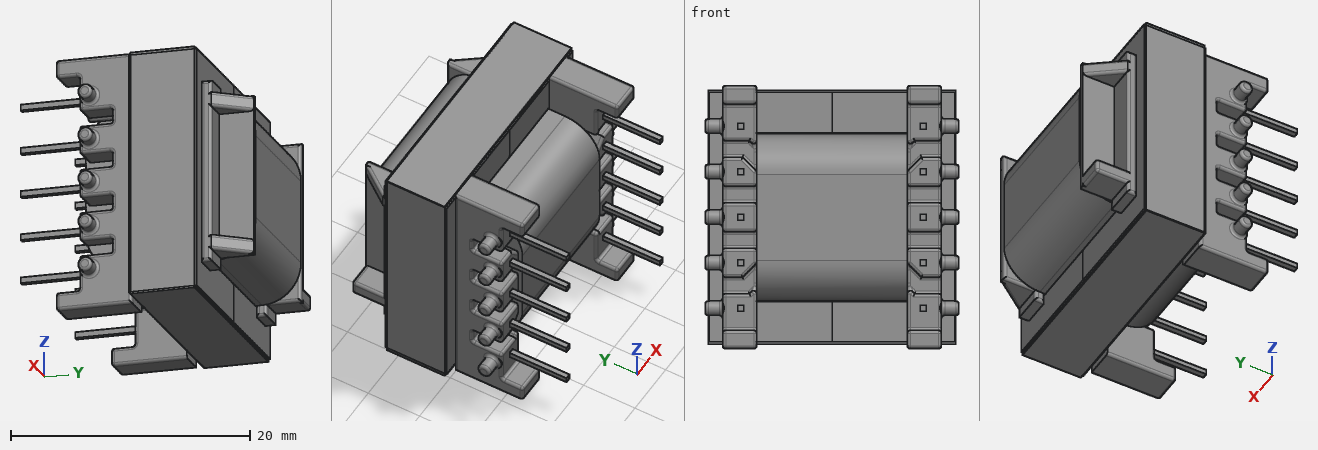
import cadquery as cq
import math


CORE_HALF_X = 10.27
CORE_HALF_Y = 3.0
CORE_HALF_Z = 10.43
WINDOW_HALF_Z = 7.05
CENTRE_LEG_HALF_Z = 2.95

TAPE_HALF_X = 10.36
TAPE_HALF_Y = 2.82
TAPE_HALF_Z = 10.63

WINDING_HALF_Z = 7.0
WINDING_BACK_Y = 6.93
WINDING_FRONT_Y = -7.96
WINDING_CORNER = 3.4

FLANGE_INNER_X = 6.3
FLANGE_OUTER_X = 6.89
FLANGE_HALF_Z = 6.95
FLANGE_BACK_Y = WINDING_BACK_Y
TUBE_WALL = 0.65

BLOCK_OUTER_X = 9.15
BLOCK_BACK_Y = -3.05
BLOCK_HALF_Z = 11.0
BLOCK_FACE_Y = -7.65
FOOT_FACE_Y = -9.7
FOOT_WIDTH = 1.55

EDGE_RADIUS = 0.26

SLOT_WIDTH = 1.36
SLOT_FLOOR_Y = -4.77
SLOT_CORNER = 0.22
SLOT_BEND_TOP_X = 6.9
SLOT_BEND_BOTTOM_X = 7.48

PIN_COUNT = 5
PIN_PITCH = 3.8
PIN_X = 7.61
PIN_SIDE = 0.5
PIN_TIP_Y = -13.2
PEG_Y = -6.75
PEG_SPAN = 21.23
PEG_TIP_X = PEG_SPAN / 2
PEG_DIAMETER = 1.2
PEG_RADIUS = PEG_DIAMETER / 2
PEG_TIP_ROUND = 0.26
PEG_ROOT_FILLET = 0.26

PAD_HALF_Z = 7.95
PAD_BACK_Y = 3.92
RIB_THICKNESS = 1.35

MARGIN = 0.02

pin_heights = [(i - (PIN_COUNT - 1) / 2) * PIN_PITCH for i in range(PIN_COUNT)]


def box_between(x0, x1, y0, y1, z0, z1):
    """Box with the given limits on each axis."""
    return cq.Workplane("XY").box(x1 - x0, y1 - y0, z1 - z0, centered=False).translate((x0, y0, z0))


def edges_within(low, high):
    """Selector for the edges whose centre lies in a box, with a small margin all round."""
    return cq.selectors.BoxSelector(
        tuple(value - MARGIN for value in low), tuple(value + MARGIN for value in high)
    )


def make_core_half():
    """E-shaped half core on the +X side."""
    body = box_between(0, CORE_HALF_X, -CORE_HALF_Y, CORE_HALF_Y, -CORE_HALF_Z, CORE_HALF_Z)
    for z0, z1 in ((CENTRE_LEG_HALF_Z, WINDOW_HALF_Z), (-WINDOW_HALF_Z, -CENTRE_LEG_HALF_Z)):
        body = body.cut(box_between(0, FLANGE_OUTER_X, -CORE_HALF_Y, CORE_HALF_Y, z0, z1))
    return body


def make_tape():
    """Thin closed band round the four outer sides of the core."""
    band = box_between(-TAPE_HALF_X, TAPE_HALF_X, -TAPE_HALF_Y, TAPE_HALF_Y, -TAPE_HALF_Z, TAPE_HALF_Z)
    return band.cut(
        box_between(-CORE_HALF_X, CORE_HALF_X, -CORE_HALF_Y, CORE_HALF_Y, -CORE_HALF_Z, CORE_HALF_Z)
    )


def tube_block(half_length):
    """Solid block with the outer section of the bobbin tube."""
    half_y = CORE_HALF_Y + TUBE_WALL
    half_z = CENTRE_LEG_HALF_Z + TUBE_WALL
    return box_between(-half_length, half_length, -half_y, half_y, -half_z, half_z)


def make_wire_slots():
    """Cutters for the wire slots of the +X block; the end slots bend toward the winding."""
    overrun = 2 * SLOT_CORNER
    outer_x = BLOCK_OUTER_X + overrun
    inner_x = FLANGE_INNER_X - overrun
    depth = SLOT_FLOOR_Y - BLOCK_FACE_Y
    cutters = []
    for z_low, z_high in zip(pin_heights, pin_heights[1:]):
        z = (z_low + z_high) / 2
        side = 1 if z > 0 else -1
        far = abs(z) + SLOT_WIDTH / 2
        near = abs(z) - SLOT_WIDTH / 2
        if abs(z) > PIN_PITCH:
            points = [
                (outer_x, far), (SLOT_BEND_TOP_X, far), (inner_x, far - (SLOT_BEND_TOP_X - inner_x)),
                (inner_x, near - (SLOT_BEND_BOTTOM_X - inner_x)), (SLOT_BEND_BOTTOM_X, near), (outer_x, near),
            ]
        else:
            points = [(outer_x, far), (inner_x, far), (inner_x, near), (outer_x, near)]
        outline = [(x, side * h) for x, h in points]
        cutter = cq.Workplane("XZ", origin=(0, SLOT_FLOOR_Y, 0)).polyline(outline).close().extrude(depth)
        cutters.append(cutter.faces(">Y").edges().fillet(SLOT_CORNER))
    return cutters


def make_terminal_block():
    """Terminal block on the +X side, with a foot at each end and slots between the pins."""
    block = box_between(
        FLANGE_INNER_X, BLOCK_OUTER_X, FOOT_FACE_Y, BLOCK_BACK_Y, -BLOCK_HALF_Z, BLOCK_HALF_Z
    )
    gap_half_z = BLOCK_HALF_Z - FOOT_WIDTH
    gap = box_between(
        FLANGE_INNER_X, BLOCK_OUTER_X, FOOT_FACE_Y, BLOCK_FACE_Y, -gap_half_z, gap_half_z
    )
    gap = gap.faces(">Y").edges("|X").fillet(EDGE_RADIUS)
    block = block.cut(gap)
    for cutter in make_wire_slots():
        block = block.cut(cutter)
    front_edges = edges_within(
        (FLANGE_INNER_X, FOOT_FACE_Y, -BLOCK_HALF_Z), (BLOCK_OUTER_X, BLOCK_FACE_Y, BLOCK_HALF_Z)
    )
    outer_edges = block.faces(">X").edges()
    inner_edges = block.faces("<X").edges("not >Y")
    return outer_edges.add(inner_edges).add(block.edges(front_edges)).fillet(EDGE_RADIUS)


def make_wire_peg(z):
    """Round wire peg along +X with a rounded tip and a filleted root."""
    root_x = BLOCK_OUTER_X
    arc_mid = 1 - math.sqrt(0.5)
    flare = PEG_RADIUS + PEG_ROOT_FILLET
    profile = (
        cq.Workplane("XY")
        .moveTo(root_x - EDGE_RADIUS, 0)
        .lineTo(root_x - EDGE_RADIUS, flare)
        .lineTo(root_x, flare)
        .threePointArc(
            (root_x + arc_mid * PEG_ROOT_FILLET, PEG_RADIUS + arc_mid * PEG_ROOT_FILLET),
            (root_x + PEG_ROOT_FILLET, PEG_RADIUS),
        )
        .lineTo(PEG_TIP_X - PEG_TIP_ROUND, PEG_RADIUS)
        .threePointArc(
            (PEG_TIP_X - arc_mid * PEG_TIP_ROUND, PEG_RADIUS - arc_mid * PEG_TIP_ROUND),
            (PEG_TIP_X, PEG_RADIUS - PEG_TIP_ROUND),
        )
        .lineTo(PEG_TIP_X, 0)
        .close()
    )
    return profile.revolve(360, (0, 0, 0), (1, 0, 0)).translate((0, PEG_Y, z))


def make_pin(z):
    """Square terminal pin pointing to -Y."""
    half = PIN_SIDE / 2
    return box_between(PIN_X - half, PIN_X + half, PIN_TIP_Y, PEG_Y, z - half, z + half)


def make_flange():
    """Flange plate on the +X side, held in the core window and standing out behind it."""
    flange = box_between(
        FLANGE_INNER_X, FLANGE_OUTER_X, BLOCK_BACK_Y - EDGE_RADIUS, FLANGE_BACK_Y,
        -FLANGE_HALF_Z, FLANGE_HALF_Z,
    )
    return flange.faces("<X").edges(">Y or >Z or <Z").fillet(EDGE_RADIUS)


def make_rear_pad():
    """Flat pad on the +X side, just behind the core."""
    pad = box_between(FLANGE_INNER_X, BLOCK_OUTER_X, CORE_HALF_Y, PAD_BACK_Y, -PAD_HALF_Z, PAD_HALF_Z)
    return pad.faces("<X or >X").edges().fillet(EDGE_RADIUS)


def make_gusset():
    """Sloped rib that braces the +Z edge of the +X flange against its pad."""
    start_y = PAD_BACK_Y - EDGE_RADIUS
    gusset = (
        cq.Workplane("XY", origin=(0, 0, FLANGE_HALF_Z - RIB_THICKNESS))
        .moveTo(FLANGE_INNER_X + EDGE_RADIUS, start_y)
        .lineTo(BLOCK_OUTER_X, start_y)
        .lineTo(BLOCK_OUTER_X, PAD_BACK_Y)
        .lineTo(FLANGE_OUTER_X, FLANGE_BACK_Y)
        .lineTo(FLANGE_INNER_X + EDGE_RADIUS, FLANGE_BACK_Y)
        .close()
        .extrude(RIB_THICKNESS)
    )
    outer_edges = edges_within(
        (FLANGE_OUTER_X + EDGE_RADIUS, start_y + 2 * MARGIN, 0), (BLOCK_OUTER_X, FLANGE_BACK_Y, FLANGE_HALF_Z)
    )
    return gusset.edges(outer_edges).edges("not |Z").fillet(EDGE_RADIUS)


def make_full_rib():
    """Square-ended rib on the +X pad, as wide as the pad."""
    rib = box_between(
        FLANGE_INNER_X + EDGE_RADIUS, BLOCK_OUTER_X, PAD_BACK_Y - EDGE_RADIUS, FLANGE_BACK_Y,
        FLANGE_HALF_Z - RIB_THICKNESS, FLANGE_HALF_Z,
    )
    return rib.faces(">X or >Y").edges("not <X").edges("not <Y").fillet(EDGE_RADIUS)


def make_bobbin_end(lower_rib):
    """Everything at the +X end of the bobbin; lower_rib is the rear rib for its -Z side."""
    end = make_terminal_block().union(make_flange()).union(make_rear_pad())
    end = end.union(make_gusset()).union(lower_rib.mirror("XY"))
    for z in pin_heights:
        end = end.union(make_wire_peg(z)).union(make_pin(z))
    return end


def make_bobbin():
    """Two mirrored ends joined by the tube, with the core's centre leg passing through."""
    body = tube_block(FLANGE_OUTER_X)
    body = body.union(make_bobbin_end(make_gusset()))
    body = body.union(make_bobbin_end(make_full_rib()).mirror("YZ"))
    return body.cut(
        box_between(
            -FLANGE_OUTER_X, FLANGE_OUTER_X, -CORE_HALF_Y, CORE_HALF_Y,
            -CENTRE_LEG_HALF_Z, CENTRE_LEG_HALF_Z,
        )
    )


def make_winding():
    """Rounded block of wire between the flanges, hollow where the tube passes."""
    winding = box_between(
        -FLANGE_INNER_X, FLANGE_INNER_X, WINDING_FRONT_Y, WINDING_BACK_Y, -WINDING_HALF_Z, WINDING_HALF_Z
    )
    winding = winding.edges("|X").fillet(WINDING_CORNER)
    return winding.cut(tube_block(FLANGE_INNER_X))


core_right = make_core_half()
core_left = core_right.mirror("YZ")
tape = make_tape()
bobbin = make_bobbin()
winding = make_winding()

bodies = [core_right, core_left, tape, bobbin, winding]

result = cq.Compound.makeCompound([body.solids().val() for body in bodies])